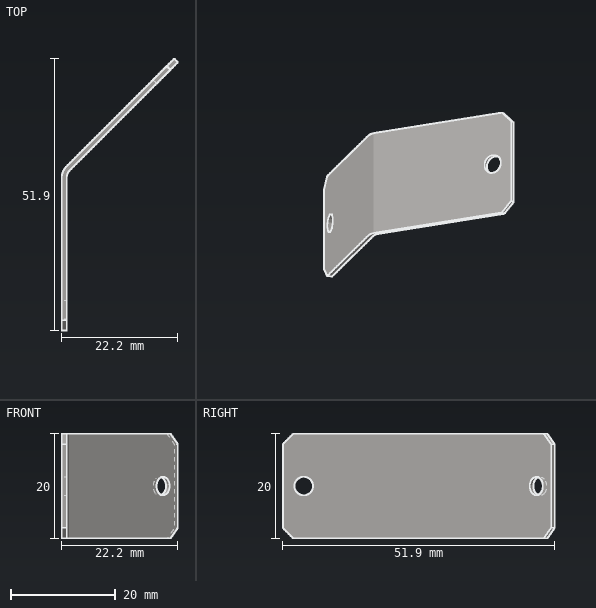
import cadquery as cq
import math

thickness = 1.0
height = 20.0
leg_length = 30.0
bend_angle = 45.0
inner_radius = 2.0
outer_radius = inner_radius + thickness

corner_chamfer = 2.0
hole_diameter = 3.5
hole_from_end = 4.0

flat_length = leg_length - inner_radius * math.tan(math.radians(bend_angle / 2))


def flat_leg():
    """Leg with its outer face on X = 0 and its bend end on Y = 0, running to -Y."""
    leg = cq.Workplane("XY").box(thickness, flat_length, height, centered=(False, False, True))
    leg = leg.translate((0, -flat_length, 0))
    leg = leg.edges("|X and <Y").chamfer(corner_chamfer)
    hole = (
        cq.Workplane("YZ")
        .center(hole_from_end - flat_length, 0)
        .circle(hole_diameter / 2)
        .extrude(thickness)
    )
    return leg.cut(hole)


def bend():
    """Curved stretch, swept about the vertical axis at X = outer_radius, Y = 0."""

    def arc_point(radius, angle):
        turn = math.radians(angle)
        return (outer_radius - radius * math.cos(turn), radius * math.sin(turn))

    return (
        cq.Workplane("XY")
        .workplane(offset=-height / 2)
        .moveTo(*arc_point(outer_radius, 0))
        .threePointArc(arc_point(outer_radius, bend_angle / 2), arc_point(outer_radius, bend_angle))
        .lineTo(*arc_point(inner_radius, bend_angle))
        .threePointArc(arc_point(inner_radius, bend_angle / 2), arc_point(inner_radius, 0))
        .close()
        .extrude(height)
    )


straight_leg = flat_leg()

bend_axis_start = (outer_radius, 0, 0)
bend_axis_end = (outer_radius, 0, 1)
angled_leg = flat_leg().mirror("XZ").rotate(bend_axis_start, bend_axis_end, -bend_angle)

result = straight_leg.union(bend()).union(angled_leg)